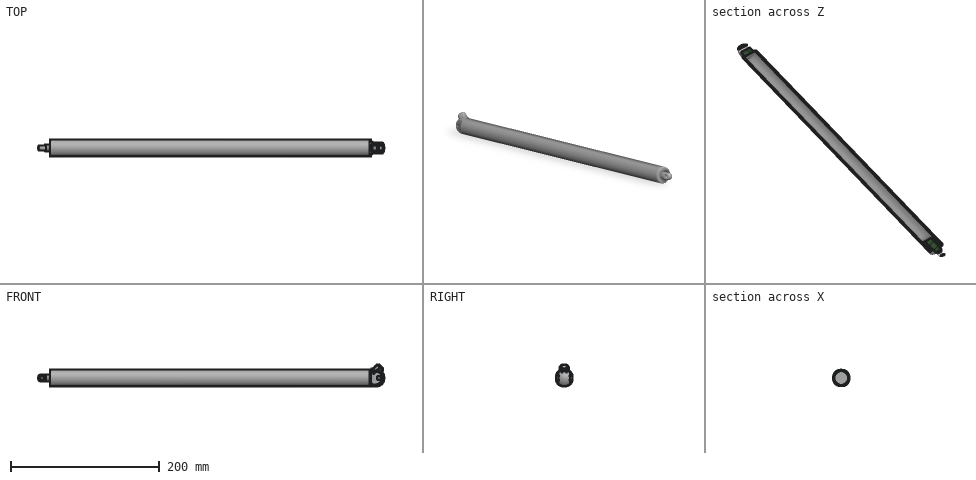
import cadquery as cq
import math

total_length = 466.0

tube_diameter = 22.86
tube_bore_diameter = 18.25
tube_start = 15.6
tube_end = 446.4
tube_lip_fillet = 1.4

gland_length = 20.0
gland_recess_diameter = 14.25
gland_recess_depth = 1.0

rod_diameter = 10.0
rod_end = tube_start + gland_length
eye_length = 10.2
eye_nose_radius = rod_diameter / 2
eye_hole_diameter = 5.1
eye_width = 7.0
eye_flat_end = 8.2
eye_runout_radius = 1.4

rear_diameter = 22.85
rear_ball_radius = rear_diameter / 2
rear_hole_diameter = 5.15
rear_hole_position = 458.9
rear_flats_width = 15.0
rear_flat_start = 451.0
rear_runout_radius = 3.2

connector_across_flats = 10.8
connector_lean = math.radians(45)
connector_axis_start = 445.9
connector_bottom = 8.0
connector_top = 21.75
connector_direction = (math.sin(connector_lean), 0, math.cos(connector_lean))
connector_face_diameter = 8.0
crossing = cq.Plane(origin=(connector_axis_start, 0, 0), xDir=(0, 1, 0), normal=connector_direction)

seat_diameter = 13.3
seat_top = 11.0


def cylinder_along_x(start, end, diameter):
    return cq.Workplane("YZ", origin=(start, 0, 0)).circle(diameter / 2).extrude(end - start)


def cross_hole(position, diameter):
    """A drill along Y, long enough to pass through every part."""
    return cq.Workplane("XZ", origin=(position, 0, 0)).circle(diameter / 2).extrude(tube_diameter, both=True)


def ball_ended_bar(tip, bar_end, radius):
    """A round bar along X with a hemispherical tip; the bar may run either way from the tip."""
    heading = math.copysign(1, bar_end - tip)
    center = tip + heading * radius
    arc_offset = radius * math.sqrt(0.5)
    return (
        cq.Workplane("XY")
        .moveTo(tip, 0)
        .threePointArc((center - heading * arc_offset, arc_offset), (center, radius))
        .lineTo(bar_end, radius)
        .lineTo(bar_end, 0)
        .close()
        .revolve(360, (0, 0, 0), (1, 0, 0))
    )


def flat_cutter(tip, flat_end, width, runout_radius, reach):
    """Removes the +Y side beyond half the width, from the tip to a run-out curved away from the flat."""
    heading = math.copysign(1, flat_end - tip)
    flat_y = width / 2
    wall_x = flat_end + heading * runout_radius
    arc_x = flat_end + heading * runout_radius * math.sqrt(0.5)
    arc_y = flat_y + runout_radius * (1 - math.sqrt(0.5))
    return (
        cq.Workplane("XY")
        .moveTo(tip, flat_y)
        .lineTo(flat_end, flat_y)
        .threePointArc((arc_x, arc_y), (wall_x, flat_y + runout_radius))
        .lineTo(wall_x, reach)
        .lineTo(tip, reach)
        .close()
        .extrude(reach, both=True)
    )


def cut_both_flats(body, cutter):
    return body.cut(cutter).cut(cutter.mirror("XZ"))


def make_tube():
    tube = cylinder_along_x(tube_start, tube_end, tube_diameter)
    tube = tube.faces("<X").edges().fillet(tube_lip_fillet)
    return tube.cut(cylinder_along_x(tube_start, tube_end, tube_bore_diameter))


def make_gland():
    gland = cylinder_along_x(tube_start, tube_start + gland_length, tube_bore_diameter)
    gland = gland.cut(cylinder_along_x(tube_start, tube_start + gland_recess_depth, gland_recess_diameter))
    return gland.cut(cylinder_along_x(tube_start, tube_start + gland_length, rod_diameter))


def make_rod():
    return cylinder_along_x(eye_length, rod_end, rod_diameter)


def make_rod_eye():
    eye = ball_ended_bar(0, eye_length, eye_nose_radius)
    eye = cut_both_flats(eye, flat_cutter(0, eye_flat_end, eye_width, eye_runout_radius, rod_diameter))
    return eye.cut(cross_hole(eye_nose_radius, eye_hole_diameter))


def make_connector():
    across_corners = connector_across_flats / math.cos(math.pi / 6)
    hexagon = (
        cq.Workplane(crossing)
        .workplane(offset=connector_bottom)
        .polygon(6, across_corners)
        .extrude(connector_top - connector_bottom)
    )
    face_radius = connector_face_diameter / 2
    cone_height = connector_top - connector_bottom
    bevel_cone = (
        cq.Workplane("XY")
        .lineTo(face_radius, 0)
        .lineTo(face_radius + cone_height, -cone_height)
        .lineTo(0, -cone_height)
        .close()
        .revolve(360, (0, 0, 0), (0, 1, 0))
        .rotate((0, 0, 0), (1, 0, 0), 90)
        .translate((0, 0, connector_top))
        .val()
        .moved(crossing.location)
    )
    return hexagon.intersect(cq.Workplane(bevel_cone))


def make_rear_end(connector):
    rear_end = ball_ended_bar(total_length, tube_end, rear_ball_radius)
    cutter = flat_cutter(total_length, rear_flat_start, rear_flats_width, rear_runout_radius, rear_diameter)
    rear_end = cut_both_flats(rear_end, cutter)
    seat = (
        cq.Workplane(crossing)
        .workplane(offset=connector_bottom)
        .circle(seat_diameter / 2)
        .extrude(seat_top - connector_bottom)
    )
    rear_end = rear_end.union(seat)
    rear_end = rear_end.cut(cross_hole(rear_hole_position, rear_hole_diameter))
    return rear_end.cut(connector)


tube = make_tube()
gland = make_gland()
rod = make_rod()
rod_eye = make_rod_eye()
connector = make_connector()
rear_end = make_rear_end(connector)

result = cq.Compound.makeCompound(
    [tube.val(), gland.val(), rod.val(), rod_eye.val(), connector.val(), rear_end.val()]
)